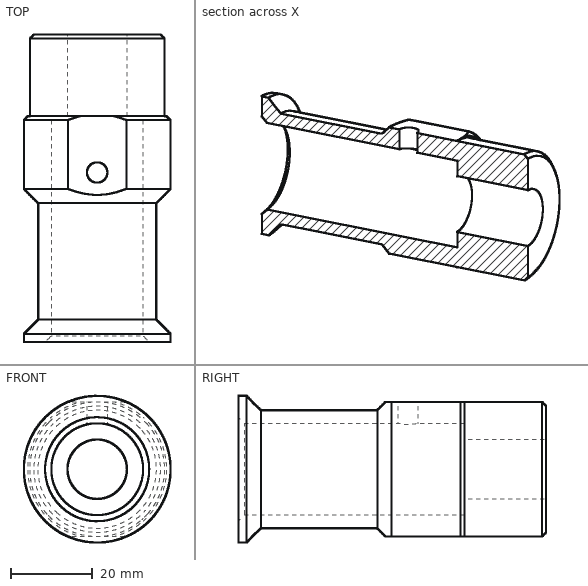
import cadquery as cq

total_length = 75.3
flange_rim_length = 2.0
neck_end = 34.0
spigot_length = 20.0
collar_end = total_length - spigot_length

flange_radius = 36.0 / 2
neck_radius = 29.0 / 2
collar_radius = flange_radius
spigot_radius = 33.0 / 2
shoulder_rise = flange_radius - neck_radius

collar_chamfer = 1.0
spigot_chamfer = 1.0

wide_bore_radius = 22.5 / 2
narrow_bore_radius = 14.5 / 2
wide_bore_depth = collar_end
mouth_chamfer = 1.5

across_flats = 33.0
port_diameter = 5.0
port_station = 41.5


def turned(profile):
    """Solid of revolution about the Y axis from (radius, station) points."""
    outline = cq.Workplane("XY").polyline(profile).close()
    return outline.revolve(360, (0, 0), (0, 1))


def turned_body():
    """Outside of the fitting, from the flange face to the spigot end."""
    profile = [
        (0, 0),
        (flange_radius, 0),
        (flange_radius, flange_rim_length),
        (neck_radius, flange_rim_length + shoulder_rise),
        (neck_radius, neck_end),
        (collar_radius, neck_end + shoulder_rise),
        (collar_radius, collar_end - collar_chamfer),
        (collar_radius - collar_chamfer, collar_end),
        (spigot_radius, collar_end),
        (spigot_radius, total_length - spigot_chamfer),
        (spigot_radius - spigot_chamfer, total_length),
        (0, total_length),
    ]
    return turned(profile)


def stepped_bore():
    """Through bore, widened and chamfered from the flange face."""
    profile = [
        (0, 0),
        (wide_bore_radius + mouth_chamfer, 0),
        (wide_bore_radius, mouth_chamfer),
        (wide_bore_radius, wide_bore_depth),
        (narrow_bore_radius, wide_bore_depth),
        (narrow_bore_radius, total_length),
        (0, total_length),
    ]
    return turned(profile)


def flats_waste():
    """Material to remove above and below the two flats, over the collar only."""
    collar_length = collar_end - neck_end
    width = 2 * collar_radius
    blank = cq.Workplane("XY").box(width, collar_length, width)
    slab = cq.Workplane("XY").box(width, collar_length, across_flats)
    return blank.cut(slab).translate((0, neck_end + collar_length / 2, 0))


def side_port():
    """Radial hole from the upper flat into the bore."""
    return (
        cq.Workplane("XY")
        .center(0, port_station)
        .circle(port_diameter / 2)
        .extrude(collar_radius)
    )


result = turned_body().cut(flats_waste()).cut(stepped_bore()).cut(side_port())